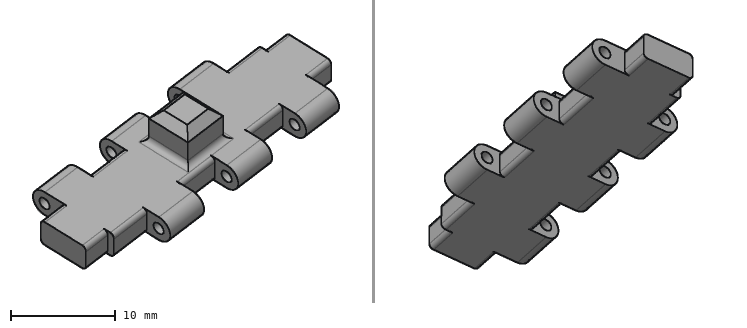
import cadquery as cq
import math

bar_height = 3.0
body_width = 7.4
body_length = 28.8
tongue_width = 5.8
total_length = 35.0
edge_radius = 0.5

overall_width = 13.4
lug_radius = bar_height / 2
lug_axis_x = overall_width / 2 - lug_radius
lug_axis_z = bar_height / 2
lugs_per_side = 3
lug_pitch = 4.85
pin_hole_diameter = 1.3

post_width = 5.0
post_top_z = 7.0
tip_chamfer = 1.0
foot_radius = 0.7


def rounded_bar(width, length):
    """Bar centred on the Y axis, with its four long edges rounded."""
    bar = cq.Workplane("XY").box(width, length, bar_height, centered=(True, True, False))
    return bar.edges("|Y").fillet(edge_radius)


def hinge_lug(side, start_y, end_y):
    """Round-ended lug between two Y positions, reaching from the bar's centre to one side (+1 or -1)."""
    length = end_y - start_y
    arm = cq.Workplane("XY").box(lug_axis_x, length, bar_height, centered=(True, False, False))
    arm = arm.translate((side * lug_axis_x / 2, start_y, 0))
    knuckle = (
        cq.Workplane("XZ", origin=(side * lug_axis_x, start_y, lug_axis_z))
        .circle(lug_radius)
        .extrude(-length)
    )
    return arm.union(knuckle)


def pin_hole(side):
    """Cutter for the pin hole that runs through all lugs on one side."""
    return (
        cq.Workplane("XZ", origin=(side * lug_axis_x, 0, lug_axis_z))
        .circle(pin_hole_diameter / 2)
        .extrude(total_length / 2, both=True)
    )


def post_slab(plane):
    """Post silhouette with concave foot and chamfered tip, extruded across the full width of the foot."""
    half_width = post_width / 2
    foot_half = half_width + foot_radius
    tip_half = half_width - tip_chamfer
    foot_top_z = bar_height + foot_radius
    shoulder_z = post_top_z - tip_chamfer
    arc_inset = foot_radius * (1 - math.cos(math.radians(45)))
    arc_x = half_width + arc_inset
    arc_z = bar_height + arc_inset
    return (
        cq.Workplane(plane)
        .moveTo(-foot_half, 0)
        .lineTo(foot_half, 0)
        .lineTo(foot_half, bar_height)
        .threePointArc((arc_x, arc_z), (half_width, foot_top_z))
        .lineTo(half_width, shoulder_z)
        .lineTo(tip_half, post_top_z)
        .lineTo(-tip_half, post_top_z)
        .lineTo(-half_width, shoulder_z)
        .lineTo(-half_width, foot_top_z)
        .threePointArc((-arc_x, arc_z), (-foot_half, bar_height))
        .close()
        .extrude(foot_half, both=True)
    )


def square_post():
    """Crossing two identical silhouettes gives the square post with mitred corners."""
    return post_slab("XZ").intersect(post_slab("YZ"))


part = rounded_bar(body_width, body_length)
part = part.union(rounded_bar(tongue_width, total_length))

for index in range(-lugs_per_side, lugs_per_side):
    lug_side = 1 if index % 2 == 0 else -1
    lug_start_y = max(index * lug_pitch, -body_length / 2)
    lug_end_y = min((index + 1) * lug_pitch, body_length / 2)
    part = part.union(hinge_lug(lug_side, lug_start_y, lug_end_y))

part = part.union(square_post())

for hole_side in (-1, 1):
    part = part.cut(pin_hole(hole_side))

result = part